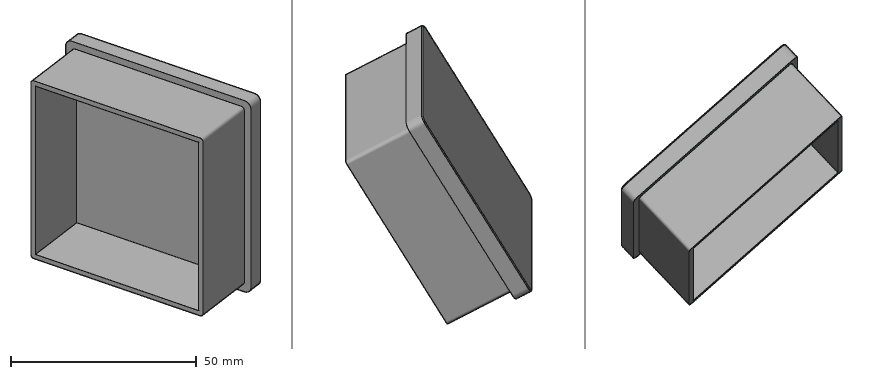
import cadquery as cq

flange_side = 60.0
flange_thickness = 5.05
flange_overhang = 2.1
flange_corner_radius = flange_overhang
back_edge_chamfer = 0.3

body_side = flange_side - 2 * flange_overhang
body_length = 20.0
body_corner_radius = 1.0

wall = 1.5
cavity_side = body_side - 2 * wall
cavity_depth = body_length

total_depth = body_length + flange_thickness


def square_prism(side, front_y, length):
    """Square block centred on the Y axis, running from front_y toward +Y."""
    return cq.Workplane("XY").box(side, length, side).translate((0, front_y + length / 2, 0))


flange = square_prism(flange_side, body_length, flange_thickness)
flange = flange.edges("|Y").fillet(flange_corner_radius)
flange = flange.faces(">Y").edges().chamfer(back_edge_chamfer)

body = square_prism(body_side, 0, total_depth)
body = body.edges("|Y").fillet(body_corner_radius)

cavity = square_prism(cavity_side, 0, cavity_depth)

result = flange.union(body).cut(cavity)